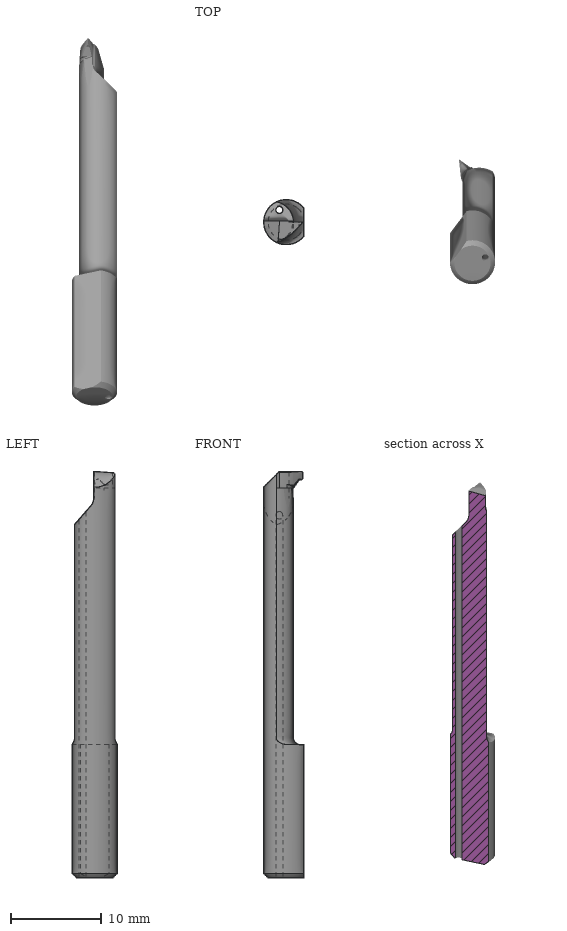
import cadquery as cq
import math

shank_radius = 2.5
total_length = 45.0
flat_x = 1.95
base_chamfer = 0.5

neck_edge_x = 0.8
neck_corner_x = -1.1
neck_base_z = 14.75
neck_fillet = 0.8
neck_corner_y = math.sqrt(shank_radius**2 - neck_corner_x**2)
neck_axis_x = (neck_edge_x**2 - shank_radius**2) / (2 * (neck_edge_x - neck_corner_x))
neck_radius = neck_edge_x - neck_axis_x

face_y = 0.12
ramp_angle = 49.0
ramp_corner_z = 41.55
ramp_blend_radius = 1.4
ramp_turn = math.radians(90 - ramp_angle)
ramp_blend_z = ramp_corner_z + ramp_blend_radius * math.tan(ramp_turn / 2)

head_base_z = 43.15
bevel_end_x = -0.74
bevel_angle = 45.0
tip_x = 1.85
tip_bottom_z = 44.05
tip_shoulder_x = 1.44
tip_corner = 0.15
flank_heel = (bevel_end_x, -1.97)
flank_middle = (0.1, -1.65)
flank_break = (neck_edge_x, -1.13)
top_clearance = 4.0
underside_clearance = 14.0
rake_start_x = 0.3
rake_bottom_z = ramp_blend_z

relief_facets = [(48.0, 0.09, 41.0), (80.0, 0.1, 39.5)]

coolant_diameter = 0.75
coolant_x = -0.76
coolant_y = 1.35

clear = 10.0


def make_shank():
    bar = cq.Workplane("XY").circle(shank_radius).extrude(total_length)
    bar = bar.faces("<Z").chamfer(base_chamfer)
    flat = cq.Workplane("XY").box(clear, clear, 2 * total_length + clear)
    return bar.cut(flat.translate((flat_x + clear / 2, 0, 0)))


def neck_cutter():
    """Ring around the neck, rounded where the neck meets the shank."""
    middle = neck_fillet * (1 - math.sqrt(0.5))
    return (
        cq.Workplane("XZ", origin=(neck_axis_x, 0, 0))
        .moveTo(neck_radius, total_length + clear)
        .lineTo(neck_radius, neck_base_z + neck_fillet)
        .threePointArc(
            (neck_radius + middle, neck_base_z + middle),
            (neck_radius + neck_fillet, neck_base_z),
        )
        .lineTo(neck_radius + clear, neck_base_z)
        .lineTo(neck_radius + clear, total_length + clear)
        .close()
        .revolve(360, (0, 0, 0), (0, 1, 0))
    )


def relief_cutter(direction, depth, runout_z):
    """Wedge that flattens the neck, deepest at the head base and fading out below."""
    angle = math.radians(direction)
    outward = (math.sin(angle), -math.cos(angle), 0)
    sideways = (-math.cos(angle), -math.sin(angle), 0)
    plane = cq.Plane(origin=(neck_axis_x, 0, 0), xDir=outward, normal=sideways)
    return (
        cq.Workplane(plane)
        .moveTo(neck_radius, runout_z)
        .lineTo(neck_radius + clear, runout_z)
        .lineTo(neck_radius + clear, head_base_z)
        .lineTo(neck_radius - depth, head_base_z)
        .close()
        .extrude(clear, both=True)
    )


def head_plan():
    """Head outline seen along Z, as a prism over the head height."""
    return (
        cq.Workplane("XY", origin=(0, 0, head_base_z))
        .moveTo(tip_x, face_y)
        .lineTo(tip_x, 0)
        .lineTo(*flank_break)
        .threePointArc(flank_middle, flank_heel)
        .lineTo(neck_corner_x, -neck_corner_y)
        .threePointArc((-shank_radius, 0), (neck_corner_x, neck_corner_y))
        .lineTo(neck_corner_x, face_y)
        .close()
        .extrude(total_length - head_base_z)
    )


def tip_profile(y, rise):
    """Tip outline at one depth; its underside is raised by the clearance."""
    points = [
        (neck_corner_x, head_base_z + rise),
        (neck_edge_x, head_base_z + rise),
        (tip_shoulder_x, tip_bottom_z + rise),
        (tip_x - tip_corner, tip_bottom_z + rise),
        (tip_x, tip_bottom_z + tip_corner + rise),
        (tip_x, total_length - tip_corner + rise),
        (tip_x - tip_corner, total_length + rise),
        (neck_corner_x, total_length + rise),
    ]
    return cq.Wire.makePolygon([cq.Vector(x, y, z) for x, z in points], close=True)


def tip_envelope():
    """Tip outline carried across the head, before the flank trims it."""
    slope = math.tan(math.radians(underside_clearance))
    cutting_end = tip_profile(face_y, -face_y * slope)
    flank_end = tip_profile(-shank_radius, shank_radius * slope)
    return cq.Workplane(obj=cq.Solid.makeLoft([cutting_end, flank_end], True))


def recess_cutter():
    """Space on the +Y side of the head face and above the blended ramp."""
    ramp_drop = clear * math.tan(math.radians(ramp_angle))

    def blend_point(turn):
        inward = ramp_blend_radius * (1 - math.cos(turn))
        down = ramp_blend_radius * math.sin(turn)
        return (face_y + inward, ramp_blend_z - down)

    return (
        cq.Workplane("YZ")
        .moveTo(face_y, total_length + clear)
        .lineTo(face_y, ramp_blend_z)
        .threePointArc(blend_point(ramp_turn / 2), blend_point(ramp_turn))
        .lineTo(face_y + clear, ramp_corner_z - ramp_drop)
        .lineTo(face_y + clear, total_length + clear)
        .close()
        .extrude(clear, both=True)
    )


def bevel_cutter():
    """Space above the bevel on the -X side of the head."""
    rise = clear * math.tan(math.radians(bevel_angle))
    return (
        cq.Workplane("XZ")
        .moveTo(bevel_end_x, total_length)
        .lineTo(bevel_end_x - clear, total_length - rise)
        .lineTo(bevel_end_x - clear, total_length + clear)
        .lineTo(bevel_end_x, total_length + clear)
        .close()
        .extrude(clear, both=True)
    )


def top_cutter():
    """Space above the head top, which falls away toward -Y from the cutting edge."""
    fall = clear * math.tan(math.radians(top_clearance))
    return (
        cq.Workplane("YZ")
        .moveTo(face_y, total_length)
        .lineTo(face_y - clear, total_length - fall)
        .lineTo(face_y - clear, total_length + clear)
        .lineTo(face_y, total_length + clear)
        .close()
        .extrude(clear, both=True)
    )


def rake_cutter():
    """Small step that sets the tip's cutting face back to the plane Y = 0."""
    rake = cq.Workplane("XY").box(clear, clear, clear, centered=False)
    return rake.translate((rake_start_x, 0, rake_bottom_z))


def make_part():
    bar = make_shank().cut(neck_cutter())
    for direction, depth, runout_z in relief_facets:
        bar = bar.cut(relief_cutter(direction, depth, runout_z))

    above_base = cq.Workplane("XY", origin=(0, 0, head_base_z)).rect(clear, clear).extrude(clear)
    head = bar.intersect(above_base).union(tip_envelope()).intersect(head_plan())
    part = bar.cut(above_base).union(head)

    for cutter in (recess_cutter(), bevel_cutter(), top_cutter(), rake_cutter()):
        part = part.cut(cutter)
    hole = cq.Workplane("XY").center(coolant_x, coolant_y).circle(coolant_diameter / 2)
    return part.cut(hole.extrude(total_length))


result = make_part()